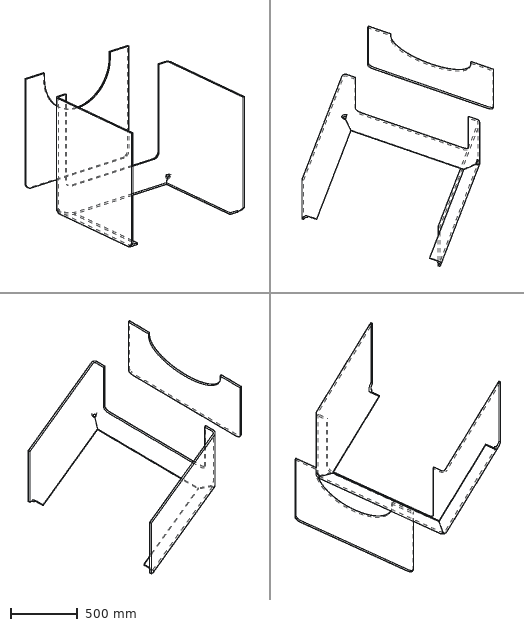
import cadquery as cq
import math

total_length = 1315.0
housing_width = 1100.0
total_height = 950.0
sheet = 15.0

housing_length = 900.0
bend_radius = 30.0
flange_width = 100.0
opening_height = 190.0
opening_radius = 50.0
flange_setback = 50.0
corner_rise = 20.0
curve_steps = 4
mitre_gap = 1.0

plate_width = 1000.0
plate_height = 900.0
plate_corner_radius = 50.0
notch_radius = 320.0
notch_centre_depth = 50.0

front_x = total_length - housing_length
half_width = housing_width / 2
bend_x = front_x + bend_radius
bend_y = half_width - bend_radius
inner_bend_radius = bend_radius - sheet
diagonal = math.sqrt(0.5)


def box(x_range, y_range, z_range):
    """Box between the given limits along each axis."""
    sizes = [high - low for low, high in (x_range, y_range, z_range)]
    corner = (x_range[0], y_range[0], z_range[0])
    return cq.Workplane("XY").box(*sizes, centered=False).translate(corner)


def bend_section(plane):
    """Quarter ring that curves from local -x round to local -y about the origin."""
    return (
        cq.Workplane(plane)
        .moveTo(-bend_radius, 0)
        .threePointArc((-bend_radius * diagonal, -bend_radius * diagonal), (0, -bend_radius))
        .lineTo(0, -inner_bend_radius)
        .threePointArc(
            (-inner_bend_radius * diagonal, -inner_bend_radius * diagonal), (-inner_bend_radius, 0)
        )
        .close()
    )


def front_wall():
    """U-shaped front frame, open at the top."""
    x_range = (front_x, front_x + sheet)
    opening_y = half_width - flange_width
    wall = box(x_range, (-bend_y, bend_y), (bend_radius, total_height))
    opening = box(x_range, (-opening_y, opening_y), (opening_height, total_height))
    return wall.cut(opening.edges("|X and <Z").fillet(opening_radius))


def front_bottom_bend():
    return bend_section("XZ").extrude(bend_y, both=True).translate((bend_x, 0, bend_radius))


def front_bottom_flange():
    """Bottom flange along the front, with mitred ends."""
    depth = flange_width - bend_radius
    start_y = bend_y - mitre_gap
    return (
        cq.Workplane("XY")
        .polyline([
            (bend_x, -start_y),
            (bend_x + depth, -start_y + depth),
            (bend_x + depth, start_y - depth),
            (bend_x, start_y),
        ])
        .close()
        .extrude(sheet)
    )


def end_corner_cutter():
    """Slanted end of a wall and its bottom bend, cut evenly along the developed sheet."""
    middle_radius = bend_radius - sheet / 2
    curve = []
    for step in range(1, curve_steps + 1):
        share = step / curve_steps
        setback = corner_rise + (flange_setback - corner_rise) * share
        drop = middle_radius * math.sin(share * math.pi / 2)
        curve.append((total_length - setback, bend_radius - drop))
    return (
        cq.Workplane("XZ")
        .moveTo(total_length, bend_radius + corner_rise)
        .lineTo(total_length - corner_rise, bend_radius)
        .spline(curve, includeCurrent=True)
        .lineTo(total_length - flange_setback, 0)
        .lineTo(total_length, 0)
        .close()
        .extrude(-half_width)
    )


def left_side():
    """Side at +Y: wall, upright front bend, bottom bend and mitred bottom flange."""
    wall = box((bend_x, total_length), (half_width - sheet, half_width), (bend_radius, total_height))
    upright_bend = (
        bend_section("XY")
        .extrude(total_height - bend_radius)
        .mirror("XZ")
        .translate((bend_x, bend_y, bend_radius))
    )
    bottom_bend = (
        bend_section("YZ")
        .extrude(total_length - bend_x)
        .mirror("XZ")
        .translate((bend_x, bend_y, bend_radius))
    )
    depth = flange_width - bend_radius
    flange_end = total_length - flange_setback
    flange = (
        cq.Workplane("XY")
        .polyline([
            (bend_x, bend_y),
            (flange_end, bend_y),
            (flange_end, bend_y - depth),
            (bend_x + depth, bend_y - depth),
        ])
        .close()
        .extrude(sheet)
    )
    side = wall.union(bottom_bend).cut(end_corner_cutter())
    return side.union(upright_bend).union(flange)


def make_housing():
    side = left_side()
    front = front_wall().union(front_bottom_bend()).union(front_bottom_flange())
    return front.union(side).union(side.mirror("XZ"))


def make_plate():
    """Upright plate with a U-shaped notch in its top edge."""
    half_plate = plate_width / 2
    notch_z = total_height - notch_centre_depth
    blank = box((0, sheet), (-half_plate, half_plate), (total_height - plate_height, total_height))
    blank = blank.edges("|X and <Z").fillet(plate_corner_radius)
    notch_round = cq.Workplane("YZ").center(0, notch_z).circle(notch_radius).extrude(sheet)
    notch_top = box((0, sheet), (-notch_radius, notch_radius), (notch_z, total_height))
    return blank.cut(notch_round).cut(notch_top)


housing = make_housing()
plate = make_plate()

result = cq.Compound.makeCompound([*housing.solids().vals(), *plate.solids().vals()])